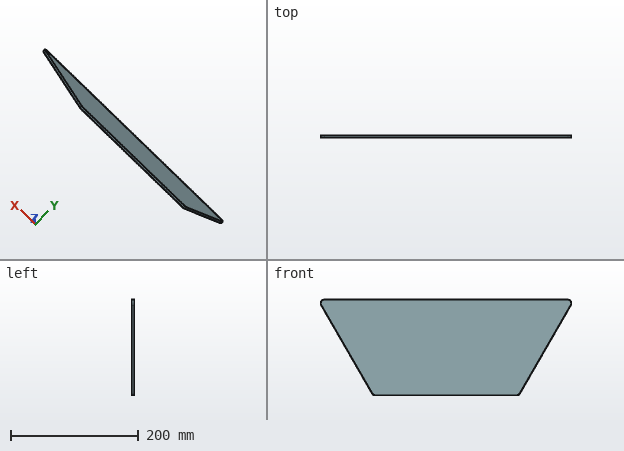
import cadquery as cq
import math

overall_width = 392.02
height = 150.0
thickness = 4.0
corner_radius = 6.0
side_angle = 60.0

corner_trim = corner_radius / math.tan(math.radians(side_angle / 2)) - corner_radius
top_half_width = overall_width / 2 + corner_trim
bottom_half_width = top_half_width - height / math.tan(math.radians(side_angle))


def make_plate():
    """Trapezoidal plate standing in the XZ plane, centred on the origin."""
    return (
        cq.Workplane("XZ")
        .polyline([
            (-bottom_half_width, -height / 2),
            (bottom_half_width, -height / 2),
            (top_half_width, height / 2),
            (-top_half_width, height / 2),
        ])
        .close()
        .extrude(thickness / 2, both=True)
    )


def round_corners(plate):
    """Round the four corners of the outline."""
    return plate.edges("|Y").fillet(corner_radius)


result = round_corners(make_plate())